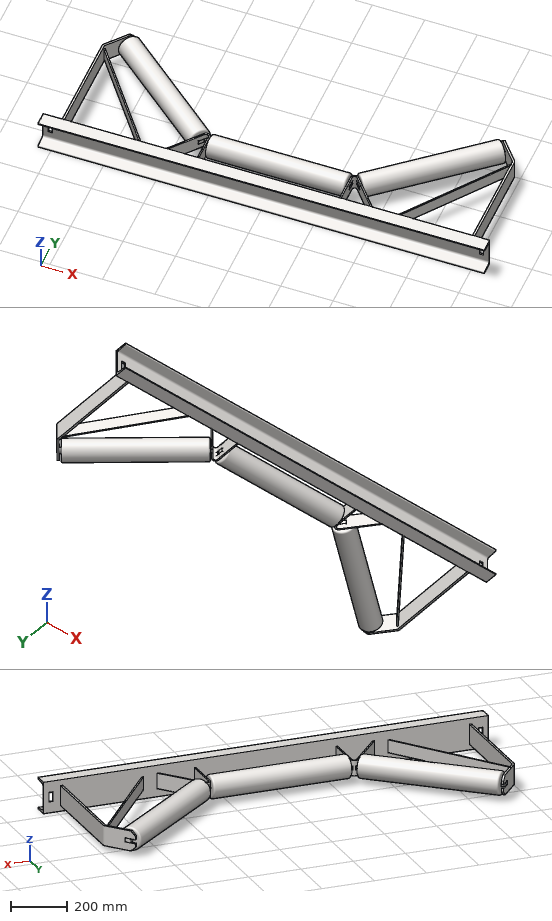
import cadquery as cq
import math

CHANNEL_LENGTH = 1700.0
CHANNEL_HEIGHT = 120.0
CHANNEL_DEPTH = 53.0
WEB_THICKNESS = 7.0
FLANGE_ROOT_THICKNESS = 10.0
FLANGE_TOE_THICKNESS = 7.0
ROOT_RADIUS = 8.0
TOE_RADIUS = 4.2
MOUNTING_SLOT_WIDTH = 15.0
MOUNTING_SLOT_HEIGHT = 35.0
MOUNTING_SLOT_INSET = 29.0

DRUM_RADIUS = 45.0
DRUM_LENGTH = 529.0
DRUM_EDGE_RADIUS = 7.0
SHAFT_RADIUS = 12.0
SHAFT_FLAT_WIDTH = 15.0
TROUGH_ANGLE = 40.0
CENTRE_ROLLER_Y = 120.0
SIDE_ROLLER_X = 508.0
SIDE_ROLLER_Y = 306.0
INNER_GAP = 3.0
OUTER_GAP = 7.0

OUTER_WIDTH = 76.0
INNER_WIDTH = 60.0
BRACE_WIDTH = 50.0
OUTER_THICKNESS = 8.0
INNER_THICKNESS = 6.0
BRACE_THICKNESS = 6.0
BEND_RADIUS = 15.0
OUTER_POST_X = 785.0
OUTER_PLATE_OVERHANG = 29.0
OUTER_PLATE_CHAMFER = 17.0
BRACE_FOOT_X = 471.0

HALF_DRUM = DRUM_LENGTH / 2
INNER_FACE = HALF_DRUM + INNER_GAP
OUTER_FACE = HALF_DRUM + OUTER_GAP
INNER_END = INNER_FACE + INNER_THICKNESS
OUTER_END = OUTER_FACE + OUTER_THICKNESS
COS_TROUGH = math.cos(math.radians(TROUGH_ANGLE))
SIN_TROUGH = math.sin(math.radians(TROUGH_ANGLE))


def at_left_roller(shape):
    """Move a shape built around an X-axis roller at the origin to the left side roller."""
    turned = shape.rotate((0, 0, 0), (0, 0, 1), -TROUGH_ANGLE)
    return turned.translate((-SIDE_ROLLER_X, SIDE_ROLLER_Y, 0))


def left_roller_point(along, across):
    """XY point at a distance along and across the axis of the left side roller."""
    x = -SIDE_ROLLER_X + along * COS_TROUGH + across * SIN_TROUGH
    y = SIDE_ROLLER_Y - along * SIN_TROUGH + across * COS_TROUGH
    return (x, y)


def plate_point_at_x(along, x):
    """Point with the given X on the plane square to the left roller axis."""
    y = SIDE_ROLLER_Y + ((x + SIDE_ROLLER_X) * COS_TROUGH - along) / SIN_TROUGH
    return (x, y)


def plate_point_at_y(along, y):
    """Point with the given Y on the plane square to the left roller axis."""
    x = -SIDE_ROLLER_X + (along + (y - SIDE_ROLLER_Y) * SIN_TROUGH) / COS_TROUGH
    return (x, y)


def strip(outline, width):
    """Flat-bar outline in XY, extruded over the bar width and centred on Z = 0."""
    bar = cq.Workplane("XY").workplane(offset=-width / 2)
    return bar.polyline(outline).close().extrude(width)


def round_bend(bar, corner, radius):
    return bar.edges(cq.NearestToPointSelector((*corner, 0))).fillet(radius)


def shaft_slot(x_start, x_end, height):
    """Cutter for a slot that takes a flatted shaft end and is open upwards."""
    slot = cq.Workplane("XY").box(
        x_end - x_start, SHAFT_RADIUS + height, SHAFT_FLAT_WIDTH, centered=(False, False, True)
    )
    return slot.translate((x_start, -SHAFT_RADIUS, 0))


def round_edge(channel, y, z, radius):
    return channel.edges(cq.NearestToPointSelector((0, y, z))).fillet(radius)


def make_channel():
    half = CHANNEL_HEIGHT / 2
    root = (-WEB_THICKNESS, half - FLANGE_ROOT_THICKNESS)
    toe = (-CHANNEL_DEPTH, half - FLANGE_TOE_THICKNESS)
    channel = (
        cq.Workplane("YZ")
        .workplane(offset=-CHANNEL_LENGTH / 2)
        .polyline(
            [
                (0, -half),
                (0, half),
                (-CHANNEL_DEPTH, half),
                toe,
                root,
                (root[0], -root[1]),
                (toe[0], -toe[1]),
                (-CHANNEL_DEPTH, -half),
            ]
        )
        .close()
        .extrude(CHANNEL_LENGTH)
    )
    for side in (-1, 1):
        channel = round_edge(channel, root[0], side * root[1], ROOT_RADIUS)
        channel = round_edge(channel, toe[0], side * toe[1], TOE_RADIUS)
    slot_x = CHANNEL_LENGTH / 2 - MOUNTING_SLOT_INSET
    slots = (
        cq.Workplane("XZ")
        .pushPoints([(-slot_x, 0), (slot_x, 0)])
        .rect(MOUNTING_SLOT_WIDTH, MOUNTING_SLOT_HEIGHT)
        .extrude(WEB_THICKNESS)
    )
    return channel.cut(slots)


def make_outer_bracket():
    """Left outer post, bent over to carry the raised end of the side roller."""
    outside_x = -OUTER_POST_X
    inside_x = outside_x + OUTER_THICKNESS
    outside_corner = plate_point_at_x(-OUTER_END, outside_x)
    inside_corner = plate_point_at_x(-OUTER_FACE, inside_x)
    bracket = strip(
        [
            (outside_x, 0),
            outside_corner,
            left_roller_point(-OUTER_END, OUTER_PLATE_OVERHANG),
            left_roller_point(-OUTER_FACE, OUTER_PLATE_OVERHANG),
            inside_corner,
            (inside_x, 0),
        ],
        OUTER_WIDTH,
    )
    bracket = round_bend(bracket, outside_corner, BEND_RADIUS)
    bracket = round_bend(bracket, inside_corner, BEND_RADIUS - OUTER_THICKNESS)
    tip = left_roller_point(-OUTER_FACE - OUTER_THICKNESS / 2, OUTER_PLATE_OVERHANG)
    for side in (-1, 1):
        corner = cq.NearestToPointSelector((*tip, side * OUTER_WIDTH / 2))
        bracket = bracket.edges(corner).chamfer(OUTER_PLATE_CHAMFER)
    slot = shaft_slot(-OUTER_END, -OUTER_FACE, OUTER_PLATE_OVERHANG)
    return bracket.cut(at_left_roller(slot))


def make_brace():
    """Left diagonal bar from the web up to the bend of the outer bracket."""
    head_x, head_y = plate_point_at_x(-OUTER_FACE, -OUTER_POST_X + OUTER_THICKNESS)
    slope = math.atan2(head_y, -BRACE_FOOT_X - head_x)
    level_width = BRACE_THICKNESS / math.sin(slope)
    return strip(
        [
            (head_x - level_width / 2, head_y),
            (head_x + level_width / 2, head_y),
            (-BRACE_FOOT_X + level_width / 2, 0),
            (-BRACE_FOOT_X - level_width / 2, 0),
        ],
        BRACE_WIDTH,
    )


def make_inner_bracket():
    """Left inner bar: a post for the centre roller bent back down under the side roller."""
    post_x = -INNER_FACE
    back_x = post_x - INNER_THICKNESS
    outside_corner = plate_point_at_x(INNER_FACE, post_x)
    inside_corner = plate_point_at_x(INNER_END, back_x)
    bracket = strip(
        [
            (post_x, 0),
            outside_corner,
            plate_point_at_y(INNER_FACE, 0),
            plate_point_at_y(INNER_END, 0),
            inside_corner,
            (back_x, 0),
        ],
        INNER_WIDTH,
    )
    bracket = round_bend(bracket, outside_corner, BEND_RADIUS)
    bracket = round_bend(bracket, inside_corner, BEND_RADIUS - INNER_THICKNESS)
    slot_height = outside_corner[1] - CENTRE_ROLLER_Y
    post_slot = shaft_slot(-INNER_END, -INNER_FACE, slot_height)
    plate_slot = shaft_slot(INNER_FACE, INNER_END, slot_height)
    bracket = bracket.cut(post_slot.translate((0, CENTRE_ROLLER_Y, 0)))
    return bracket.cut(at_left_roller(plate_slot))


def make_frame():
    """Channel and bars welded into one body."""
    frame = make_channel()
    for bar in (make_outer_bracket(), make_brace(), make_inner_bracket()):
        frame = frame.union(bar).union(bar.mirror("YZ"))
    return frame


def make_drum():
    """Roller shell with rounded rims, bored for its shaft, along X at the origin."""
    drum = cq.Workplane("YZ").workplane(offset=-HALF_DRUM).circle(DRUM_RADIUS).extrude(DRUM_LENGTH)
    drum = drum.edges("%CIRCLE").fillet(DRUM_EDGE_RADIUS)
    bore = cq.Workplane("YZ").workplane(offset=-HALF_DRUM).circle(SHAFT_RADIUS).extrude(DRUM_LENGTH)
    return drum.cut(bore)


def make_shaft(left_face, left_end, right_face, right_end):
    """Shaft along X: round between the bracket faces, flatted where it sits in their slots."""

    def round_bar(start, end):
        return cq.Workplane("YZ").workplane(offset=start).circle(SHAFT_RADIUS).extrude(end - start)

    flats = cq.Workplane("XY").box(
        2 * max(left_end, right_end), 2 * SHAFT_RADIUS, SHAFT_FLAT_WIDTH
    )
    ends = round_bar(-left_end, right_end).intersect(flats)
    return round_bar(-left_face, right_face).union(ends)


frame = make_frame()

left_drum = at_left_roller(make_drum())
left_shaft = at_left_roller(make_shaft(OUTER_FACE, OUTER_END, INNER_FACE, INNER_END))
centre_place = (0, CENTRE_ROLLER_Y, 0)
centre_shaft = make_shaft(INNER_FACE, INNER_END, INNER_FACE, INNER_END)

drums = [make_drum().translate(centre_place), left_drum, left_drum.mirror("YZ")]
shafts = [centre_shaft.translate(centre_place), left_shaft, left_shaft.mirror("YZ")]

result = cq.Compound.makeCompound(
    [frame.val(), *[drum.val() for drum in drums], *[shaft.val() for shaft in shafts]]
)